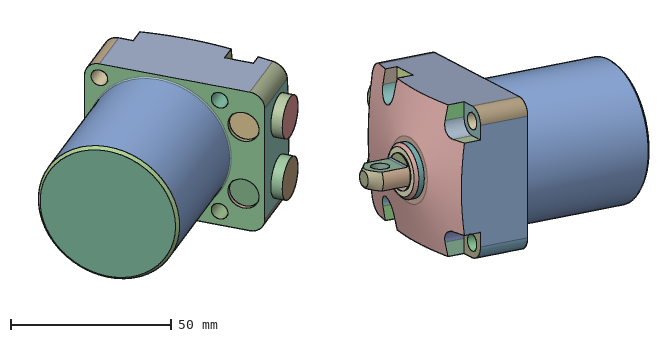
import cadquery as cq
import math


OVERALL_LENGTH = 90.5

BLOCK_HEIGHT = 50.0
BLOCK_LENGTH = 60.0
BLOCK_LEFT = -BLOCK_HEIGHT / 2
BLOCK_RIGHT = BLOCK_LEFT + BLOCK_LENGTH
CORNER_RADIUS = 5.0

CONE_TOP_Y = 28.1
CONE_TOP_RADIUS = 10.9
CONE_SLOPE = math.tan(math.radians(15))
CONE_BASE_RADIUS = math.hypot(BLOCK_RIGHT, BLOCK_HEIGHT / 2)
CONE_BASE_Y = CONE_TOP_Y - CONE_SLOPE * (CONE_BASE_RADIUS - CONE_TOP_RADIUS)

COLLAR_RADIUS = 9.05
COLLAR_LENGTH = 3.1
COLLAR_CHAMFER = 1.1
COLLAR_TOP_Y = CONE_TOP_Y + COLLAR_LENGTH
LIP_HEIGHT = 0.23
LIP_TOP_Y = COLLAR_TOP_Y + LIP_HEIGHT

BARREL_RADIUS = 23.5
BARREL_LENGTH = 45.9
BARREL_CHAMFER = 1.0
BARREL_ROOT_FILLET = 0.4

HOLE_OFFSET = BLOCK_HEIGHT / 2 - CORNER_RADIUS
HOLE_DIAMETER = 5.5
SEAT_RADIUS = 4.8
SEAT_Y = 17.3

RECESS_X = 28.0
RECESS_Z = 12.0
RECESS_DIAMETER = 10.3
RECESS_DEPTH = 1.45

PORT_Y = 12.5
PORT_Z = 11.0
PORT_RADIUS = 7.1
PORT_LENGTH = 3.8

ROD_RADIUS = 6.1
ROD_TIP_Y = OVERALL_LENGTH - BARREL_LENGTH
ROD_TIP_CHAMFER = 3.4
TANG_THICKNESS = 6.2
TANG_START_Y = 31.6
TANG_RAMP_LENGTH = 0.9
TANG_RAMP_RISE = 0.2
EYE_Y = 38.6
EYE_DIAMETER = 6.0


def cylinder_y(radius, y_start, y_end, x=0.0, z=0.0):
    """Cylinder parallel to the Y axis."""
    solid = cq.Solid.makeCylinder(radius, y_end - y_start, cq.Vector(x, y_start, z), cq.Vector(0, 1, 0))
    return cq.Workplane(solid)


def box_between(x_range, y_range, z_range):
    """Axis-aligned box given by its limits on each axis."""
    sizes = [high - low for low, high in (x_range, y_range, z_range)]
    corner = cq.Vector(x_range[0], y_range[0], z_range[0])
    return cq.Workplane(cq.Solid.makeBox(*sizes, corner))


def make_block():
    """Block with rounded corners whose back is trimmed to a cone."""
    block = box_between(
        (BLOCK_LEFT, BLOCK_RIGHT), (0, CONE_TOP_Y), (-BLOCK_HEIGHT / 2, BLOCK_HEIGHT / 2)
    ).edges("|Y").fillet(CORNER_RADIUS)
    envelope = (
        cq.Workplane("XY")
        .polyline([
            (0, 0),
            (CONE_BASE_RADIUS, 0),
            (CONE_BASE_RADIUS, CONE_BASE_Y),
            (CONE_TOP_RADIUS, CONE_TOP_Y),
            (0, CONE_TOP_Y),
        ])
        .close()
        .revolve(360, (0, 0, 0), (0, 1, 0))
    )
    return block.intersect(envelope)


def make_barrel():
    """Barrel with a chamfered end and a small fillet flaring into the mounting face."""
    return (
        cq.Workplane("XY")
        .moveTo(0, 0)
        .lineTo(BARREL_RADIUS + BARREL_ROOT_FILLET, 0)
        .radiusArc((BARREL_RADIUS, -BARREL_ROOT_FILLET), -BARREL_ROOT_FILLET)
        .lineTo(BARREL_RADIUS, -BARREL_LENGTH + BARREL_CHAMFER)
        .lineTo(BARREL_RADIUS - BARREL_CHAMFER, -BARREL_LENGTH)
        .lineTo(0, -BARREL_LENGTH)
        .close()
        .revolve(360, (0, 0, 0), (0, 1, 0))
    )


def make_screw_seat(x, side):
    """Pocket behind a mounting hole, open to the +Z (side = 1) or -Z (side = -1) face.

    The seats next to the -X face are open to that face as well.
    """
    z = side * HOLE_OFFSET
    outer_z = side * BLOCK_HEIGHT / 2
    y_range = (SEAT_Y, CONE_TOP_Y)
    seat = cylinder_y(SEAT_RADIUS, *y_range, x, z)
    seat = seat.union(box_between((x - SEAT_RADIUS, x + SEAT_RADIUS), y_range, sorted((z, outer_z))))
    if x < 0:
        inner_z = z - side * SEAT_RADIUS
        seat = seat.union(box_between((BLOCK_LEFT, x), y_range, sorted((inner_z, outer_z))))
    return seat


def make_housing():
    """Block, barrel and collar in one piece, with holes, screw seats and recesses."""
    collar = cylinder_y(COLLAR_RADIUS, CONE_TOP_Y, COLLAR_TOP_Y).faces(">Y").chamfer(COLLAR_CHAMFER)
    lip = cylinder_y(ROD_RADIUS, COLLAR_TOP_Y, LIP_TOP_Y)
    housing = make_block().union(make_barrel()).union(collar).union(lip)
    for side in (-1, 1):
        for x in (-HOLE_OFFSET, HOLE_OFFSET):
            housing = housing.cut(cylinder_y(HOLE_DIAMETER / 2, 0, CONE_TOP_Y, x, side * HOLE_OFFSET))
            housing = housing.cut(make_screw_seat(x, side))
        housing = housing.cut(
            cylinder_y(RECESS_DIAMETER / 2, 0, RECESS_DEPTH, RECESS_X, side * RECESS_Z)
        )
    return housing


def make_port(side):
    """Round port boss standing on the +X face."""
    centre = cq.Vector(BLOCK_RIGHT, PORT_Y, side * PORT_Z)
    return cq.Workplane(cq.Solid.makeCylinder(PORT_RADIUS, PORT_LENGTH, centre, cq.Vector(1, 0, 0)))


def make_flat_cutter():
    """Material removed above the upper flat, ending in a short ramp at the shoulder."""
    flat_z = TANG_THICKNESS / 2
    return (
        cq.Workplane("YZ")
        .polyline([
            (ROD_TIP_Y, flat_z),
            (TANG_START_Y + TANG_RAMP_LENGTH, flat_z),
            (TANG_START_Y, flat_z + TANG_RAMP_RISE),
            (TANG_START_Y, ROD_RADIUS),
            (ROD_TIP_Y, ROD_RADIUS),
        ])
        .close()
        .extrude(ROD_RADIUS, both=True)
    )


def make_rod():
    """Rod end standing on the collar's lip, with two flats and a cross hole along Z."""
    rod = cylinder_y(ROD_RADIUS, LIP_TOP_Y, ROD_TIP_Y).faces(">Y").chamfer(ROD_TIP_CHAMFER)
    flat_cutter = make_flat_cutter()
    eye = cq.Workplane("XY").center(0, EYE_Y).circle(EYE_DIAMETER / 2).extrude(ROD_RADIUS, both=True)
    return rod.cut(flat_cutter).cut(flat_cutter.mirror("XY")).cut(eye)


housing = make_housing()
rod = make_rod()
ports = [make_port(side) for side in (-1, 1)]

result = cq.Compound.makeCompound([housing.val(), rod.val(), *[port.val() for port in ports]])